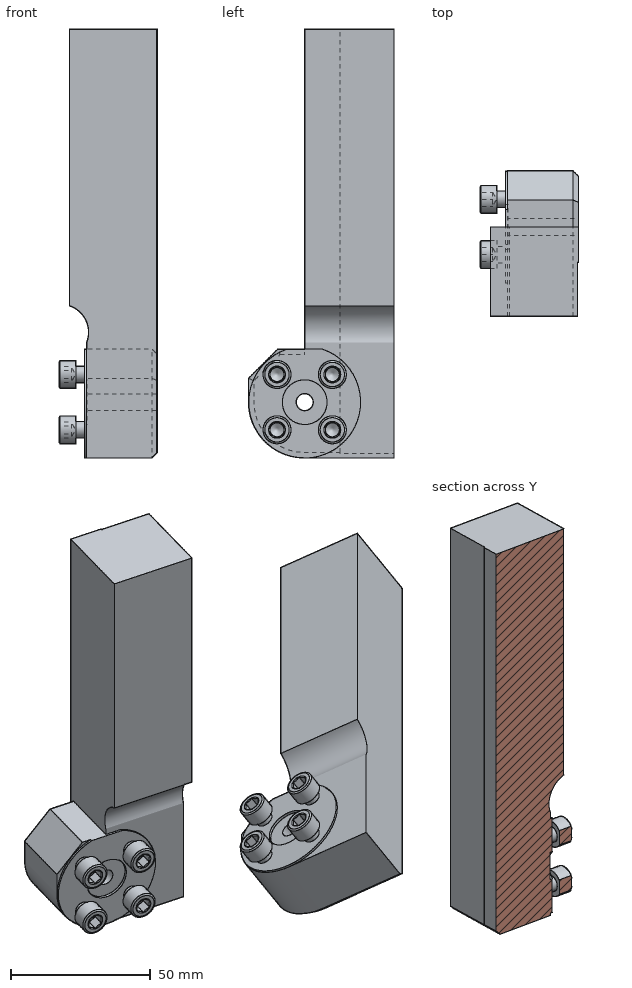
import cadquery as cq
import math


shank_width = 32.0
shank_depth = 31.5
shank_front_x = -shank_depth
shank_length = 153.5
bottom_z = -20.0
top_z = bottom_z + shank_length
relief_depth = 0.35
relief_width = 19.3

face_x = -25.4
groove_radius = 10.0
groove_center_z = 25.0
groove_bottom_x = -24.7

head_radius = -bottom_z
head_side_y = 20.15
head_center_y = head_side_y - head_radius
head_overlap = 5.0
head_top_z = 19.0
corner_cut = 10.5
rear_chamfer = 2.0

pad_radius = head_radius
pad_height = 0.8
pad_face_x = face_x - pad_height
recess_diameter = 16.0
recess_depth = 1.0
through_hole_diameter = 6.0

screw_pitch = 19.8
screw_shaft_diameter = 6.0
screw_head_diameter = 10.0
screw_head_height = 6.0
screw_end_x = -35.25
screw_rim_diameter = 8.7
screw_rim_height = 0.35
socket_sides = 6
socket_across_flats = 5.0
socket_across_corners = socket_across_flats / math.cos(math.pi / socket_sides)
socket_depth = 4.5
socket_turn = 180 / socket_sides
socket_mouth_diameter = 6.01
socket_mouth_depth = 0.3
socket_point_slope = 30.0
socket_point_depth = socket_across_flats / 2 * math.tan(math.radians(socket_point_slope))


def cylinder_x(diameter, start_x, end_x, y=0.0, z=0.0):
    """Cylinder along X between two X positions."""
    return (
        cq.Workplane("YZ", origin=(start_x, y, z))
        .circle(diameter / 2)
        .extrude(end_x - start_x)
    )


def cone_x(start_diameter, end_diameter, start_x, end_x, y, z):
    """Cone or truncated cone along X between two X positions."""
    cone = cq.Solid.makeCone(
        start_diameter / 2,
        end_diameter / 2,
        end_x - start_x,
        pnt=cq.Vector(start_x, y, z),
        dir=cq.Vector(1, 0, 0),
    )
    return cq.Workplane(cone)


def box_between(low, high):
    """Box spanned by two opposite corners."""
    size = [b - a for a, b in zip(low, high)]
    return cq.Workplane("XY").box(*size, centered=False).translate(low)


def make_shank():
    """Square bar with its profile in XZ: groove, thinned lower face and rear bottom chamfer."""
    groove_center_x = groove_bottom_x - groove_radius
    upper_reach = math.sqrt(groove_radius**2 - (shank_front_x - groove_center_x) ** 2)
    lower_reach = math.sqrt(groove_radius**2 - (face_x - groove_center_x) ** 2)
    shank = (
        cq.Workplane("XZ")
        .moveTo(0, top_z)
        .lineTo(shank_front_x, top_z)
        .lineTo(shank_front_x, groove_center_z + upper_reach)
        .threePointArc(
            (groove_bottom_x, groove_center_z),
            (face_x, groove_center_z - lower_reach),
        )
        .lineTo(face_x, bottom_z)
        .lineTo(-rear_chamfer, bottom_z)
        .lineTo(0, bottom_z + rear_chamfer)
        .close()
        .extrude(shank_width)
    )
    relief = box_between(
        (-relief_depth, -shank_width, bottom_z),
        (0, relief_width - shank_width, top_z),
    )
    return shank.cut(relief)


def make_head():
    """Half-round head rooted in the shank, cut at its upper corner and chamfered at the rear."""
    arc_mid = head_radius * math.sqrt(0.5)
    return (
        cq.Workplane("YZ", origin=(face_x, 0, 0))
        .moveTo(-head_overlap, head_top_z)
        .lineTo(head_side_y - corner_cut, head_top_z)
        .lineTo(head_side_y, head_top_z - corner_cut)
        .lineTo(head_side_y, 0)
        .threePointArc((head_center_y + arc_mid, -arc_mid), (head_center_y, bottom_z))
        .lineTo(-head_overlap, bottom_z)
        .close()
        .extrude(-face_x)
        .faces(">X")
        .edges("not <Y")
        .chamfer(rear_chamfer)
    )


def make_pad():
    """Thin disc on the front face, cut flush with the top of the head."""
    disc = cylinder_x(2 * pad_radius, pad_face_x, face_x)
    above_head = box_between(
        (pad_face_x, -pad_radius, head_top_z),
        (face_x, pad_radius, pad_radius),
    )
    return disc.cut(above_head)


def make_screw(y, z):
    """Socket head screw standing proud of the pad."""
    head_base_x = screw_end_x + screw_head_height
    rim_base_x = screw_end_x + screw_rim_height
    head = cylinder_x(screw_head_diameter, rim_base_x, head_base_x, y, z)
    rim = cone_x(screw_rim_diameter, screw_head_diameter, screw_end_x, rim_base_x, y, z)
    shaft = cylinder_x(screw_shaft_diameter, head_base_x, face_x, y, z)
    socket = (
        cq.Workplane("YZ", origin=(screw_end_x, y, z))
        .polygon(socket_sides, socket_across_corners)
        .extrude(socket_depth)
        .rotate((0, y, z), (1, y, z), socket_turn)
    )
    mouth_end_x = screw_end_x + socket_mouth_depth
    mouth = cone_x(socket_mouth_diameter, socket_across_flats, screw_end_x, mouth_end_x, y, z)
    floor_x = screw_end_x + socket_depth
    point = cone_x(socket_across_flats, 0, floor_x, floor_x + socket_point_depth, y, z)
    return head.union(rim).union(shaft).cut(socket).cut(mouth).cut(point)


body = make_shank().union(make_head()).union(make_pad())
body = body.cut(cylinder_x(recess_diameter, pad_face_x, pad_face_x + recess_depth))
body = body.cut(cylinder_x(through_hole_diameter, pad_face_x, 0))

for side_y in (-1, 1):
    for side_z in (-1, 1):
        body = body.union(make_screw(side_y * screw_pitch / 2, side_z * screw_pitch / 2))

result = body